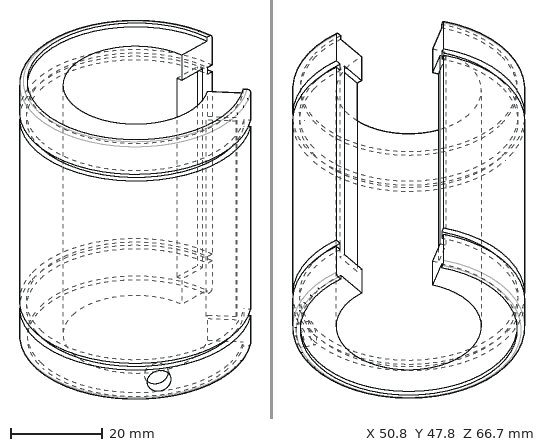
import cadquery as cq
import math

length = 66.7
outer_radius = 25.4
bore_radius = 15.9
edge_radius = 0.8

groove_radius = 23.95
groove_width = 1.75
groove_span = 50.8

rim_inner_radius = 23.75
cap_recess = 1.0
cap_thickness = 6.55

mouth_half_width = 11.95
side_angle = math.radians(25.1)

shell_inner_radius = 22.35
retainer_setback = 1.35

hole_radius = 2.7
hole_height = 4.8
hole_angle = -9.0
hole_depth = outer_radius - shell_inner_radius


def cylinder(radius, bottom, height):
    return cq.Workplane("XY").workplane(offset=bottom).circle(radius).extrude(height)


def ring(outer, inner, bottom, height):
    return cylinder(outer, bottom, height).cut(cylinder(inner, bottom, height))


def opening(setback, bottom, height):
    """Wedge opening toward +Y, with its side walls moved outward by setback."""
    mouth_y = math.sqrt(outer_radius**2 - mouth_half_width**2)
    widening = setback / math.cos(side_angle)
    apex_y = mouth_y - (mouth_half_width + widening) / math.tan(side_angle)
    far_y = 2 * outer_radius
    far_x = (far_y - apex_y) * math.tan(side_angle)
    return (
        cq.Workplane("XY")
        .workplane(offset=bottom)
        .polyline([(0, apex_y), (far_x, far_y), (-far_x, far_y)])
        .close()
        .extrude(height)
    )


body = cylinder(outer_radius, 0, length).faces("<Z or >Z").edges().fillet(edge_radius)

for recess_bottom in (0, length - cap_recess):
    body = body.cut(cylinder(rim_inner_radius, recess_bottom, cap_recess))

groove_inset = (length - groove_span) / 2
for groove_bottom in (groove_inset, length - groove_inset - groove_width):
    body = body.cut(ring(outer_radius, groove_radius, groove_bottom, groove_width))

body = body.cut(cylinder(bore_radius, 0, length))
body = body.cut(opening(0, 0, length))

retainer_bottom = cap_recess + cap_thickness
retainer_length = length - 2 * retainer_bottom
retainer_gap = opening(retainer_setback, retainer_bottom, retainer_length).intersect(
    cylinder(shell_inner_radius, retainer_bottom, retainer_length)
)
body = body.cut(retainer_gap)

hole = (
    cq.Workplane("YZ")
    .workplane(offset=outer_radius - hole_depth)
    .center(0, hole_height)
    .circle(hole_radius)
    .extrude(2 * hole_depth)
    .rotate((0, 0, 0), (0, 0, 1), hole_angle)
)
result = body.cut(hole)